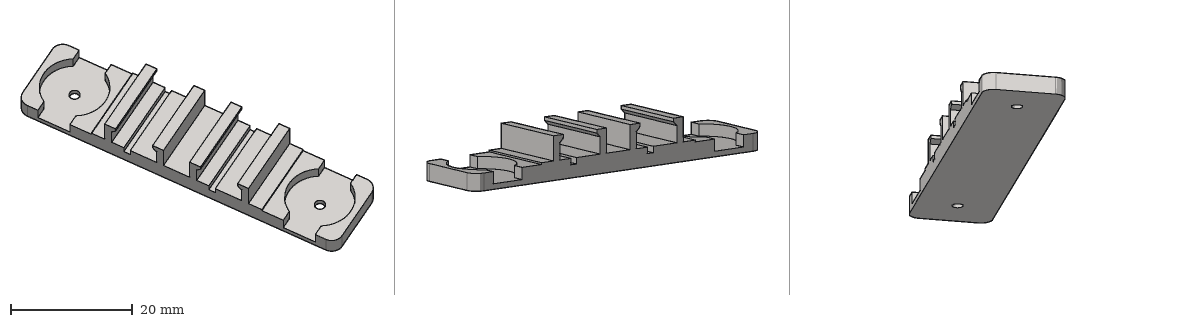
import cadquery as cq

length = 60.0
width = 14.0
plate_height = 3.0
corner_radius = 2.0

deck_end_inset = 14.0
deck_height = 3.3
deck_length = length - 2 * deck_end_inset

pocket_end_inset = 6.95
pocket_diameter = 11.6
pocket_floor = 0.95
slot_width = 6.0
screw_hole_diameter = 1.8
pocket_x = length / 2 - pocket_end_inset

total_height = 7.5
rail_thickness = 1.3
hook_reach = 0.7
hook_lip_height = 0.6
pair_width = 11.05
pair_gap = 4.9
pair_starts = (-pair_gap / 2 - pair_width, pair_gap / 2)

groove_offset = 3.6
groove_width = 1.2
groove_depth = 1.1


def make_base():
    """Rounded plate with the full-width raised deck."""
    plate = cq.Workplane("XY").box(length, width, plate_height, centered=(True, True, False))
    plate = plate.edges("|Z").fillet(corner_radius)
    deck = cq.Workplane("XY").box(deck_length, width, deck_height, centered=(True, True, False))
    return plate.union(deck)


def make_rail(outer_x, inward):
    """Rail across the plate; inward is +1 or -1, the X direction of its hook."""
    inner_x = outer_x + inward * rail_thickness
    tip_x = inner_x + inward * hook_reach
    lip_bottom = total_height - hook_lip_height
    bevel_bottom = lip_bottom - hook_reach
    outline = [
        (outer_x, pocket_floor),
        (outer_x, total_height),
        (tip_x, total_height),
        (tip_x, lip_bottom),
        (inner_x, bevel_bottom),
        (inner_x, pocket_floor),
    ]
    return cq.Workplane("XZ").polyline(outline).close().extrude(width / 2, both=True)


def make_pocket(center_x):
    """Round pocket, its cross slot and the screw hole through the floor."""
    depth = plate_height - pocket_floor
    floor = cq.Workplane("XY", origin=(center_x, 0, pocket_floor))
    recess = floor.circle(pocket_diameter / 2).extrude(depth)
    slot = floor.rect(slot_width, width).extrude(depth)
    hole = cq.Workplane("XY").center(center_x, 0).circle(screw_hole_diameter / 2).extrude(plate_height)
    return recess.union(slot).union(hole)


def make_groove(start_x):
    """Groove across the deck, starting at start_x."""
    return cq.Workplane("XY").box(groove_width, width, groove_depth, centered=(False, True, False)).translate(
        (start_x, 0, deck_height - groove_depth)
    )


result = make_base()
for center_x in (-pocket_x, pocket_x):
    result = result.cut(make_pocket(center_x))
for start_x in pair_starts:
    result = result.union(make_rail(start_x, 1))
    result = result.union(make_rail(start_x + pair_width, -1))
    result = result.cut(make_groove(start_x + groove_offset))